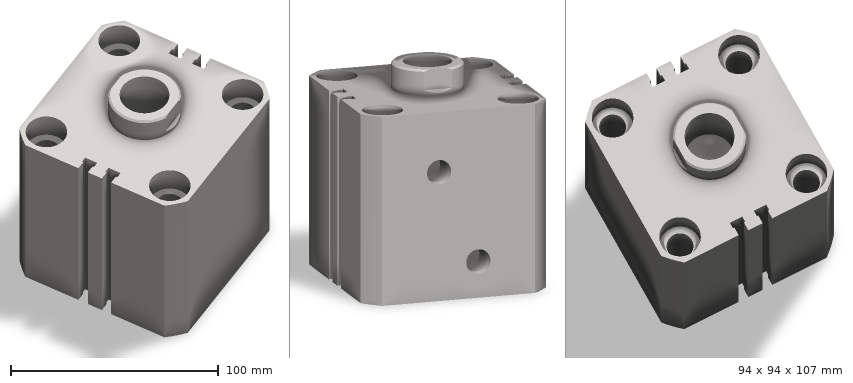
import cadquery as cq
import math

TOTAL_HEIGHT = 107.0
HOUSING_SIDE = 94.0
HOUSING_HEIGHT = 93.9
CORNER_RADIUS = 61.0

BOLT_OFFSET = 34.5
BOLT_HOLE_DIAMETER = 13.0
COUNTERBORE_DIAMETER = 20.0
COUNTERBORE_DEPTH = 13.0

SLOT_OFFSET = 6.5
SLOT_NECK_WIDTH = 5.2
SLOT_HEAD_WIDTH = 6.7
SLOT_NECK_DEPTH = 4.5
SLOT_DEPTH = 7.6

PORT_MOUTH_DIAMETER = 12.2
PORT_FLOOR_DIAMETER = 11.1
PORT_DEPTH = 15.0
PORT_OFFSET = 10.0
LOWER_PORT_HEIGHT = 18.0
UPPER_PORT_HEIGHT = 64.0

ROD_DIAMETER = 35.0
ROD_CHAMFER = 1.0
ROD_INSERTION = 42.8
ROD_BOTTOM = HOUSING_HEIGHT - ROD_INSERTION

ROD_HOLE_DIAMETER = 24.0
ROD_HOLE_DEPTH = 30.0
DRILL_POINT_ANGLE = 120.0

FLAT_SPACING = 32.0
FLAT_BOTTOM = HOUSING_HEIGHT + 3.0


def cylinder(diameter, bottom, top):
    """Upright cylinder on the Z axis between two heights."""
    return cq.Workplane("XY").workplane(offset=bottom).circle(diameter / 2).extrude(top - bottom)


def t_slot_cutter(center_x, side):
    """Full-height T-slot opening to the front (side = -1) or the back (side = 1)."""
    face_y = side * HOUSING_SIDE / 2
    neck_y = face_y - side * SLOT_NECK_DEPTH
    floor_y = face_y - side * SLOT_DEPTH
    half_neck = SLOT_NECK_WIDTH / 2
    half_head = SLOT_HEAD_WIDTH / 2
    return (
        cq.Workplane("XY")
        .moveTo(center_x - half_neck, face_y)
        .lineTo(center_x - half_neck, neck_y)
        .lineTo(center_x - half_head, neck_y)
        .lineTo(center_x - half_head, floor_y)
        .lineTo(center_x + half_head, floor_y)
        .lineTo(center_x + half_head, neck_y)
        .lineTo(center_x + half_neck, neck_y)
        .lineTo(center_x + half_neck, face_y)
        .close()
        .extrude(HOUSING_HEIGHT)
    )


def port_cutter(center_y, center_z):
    """Tapered port running inward along +X from the -X side."""
    mouth = cq.Vector(-HOUSING_SIDE / 2, center_y, center_z)
    inward = cq.Vector(1, 0, 0)
    return cq.Solid.makeCone(PORT_MOUTH_DIAMETER / 2, PORT_FLOOR_DIAMETER / 2, PORT_DEPTH, mouth, inward)


def make_housing():
    block = cq.Workplane("XY").rect(HOUSING_SIDE, HOUSING_SIDE).extrude(HOUSING_HEIGHT)
    housing = block.intersect(cylinder(2 * CORNER_RADIUS, 0, HOUSING_HEIGHT))

    housing = (
        housing.faces(">Z")
        .workplane(origin=(0, 0, HOUSING_HEIGHT))
        .rect(2 * BOLT_OFFSET, 2 * BOLT_OFFSET, forConstruction=True)
        .vertices()
        .cboreHole(BOLT_HOLE_DIAMETER, COUNTERBORE_DIAMETER, COUNTERBORE_DEPTH)
    )

    for side in (-1, 1):
        for center_x in (-SLOT_OFFSET, SLOT_OFFSET):
            housing = housing.cut(t_slot_cutter(center_x, side))

    housing = housing.cut(port_cutter(PORT_OFFSET, UPPER_PORT_HEIGHT))
    housing = housing.cut(port_cutter(-PORT_OFFSET, LOWER_PORT_HEIGHT))

    return housing.cut(cylinder(ROD_DIAMETER, ROD_BOTTOM, HOUSING_HEIGHT))


def wrench_flat_cutter(side):
    """Material removed for the flat on the -X (side = -1) or +X (side = 1) side."""
    flat_x = FLAT_SPACING / 2
    outer_x = ROD_DIAMETER / 2
    shoulder_bottom = FLAT_BOTTOM - (outer_x - flat_x)
    return (
        cq.Workplane("XZ")
        .moveTo(side * flat_x, TOTAL_HEIGHT)
        .lineTo(side * flat_x, FLAT_BOTTOM)
        .lineTo(side * outer_x, shoulder_bottom)
        .lineTo(side * outer_x, TOTAL_HEIGHT)
        .close()
        .extrude(ROD_DIAMETER / 2, both=True)
    )


def rod_hole_cutter():
    """Blind hole in the rod end with a conical drill point."""
    radius = ROD_HOLE_DIAMETER / 2
    shoulder_z = TOTAL_HEIGHT - ROD_HOLE_DEPTH
    tip_z = shoulder_z - radius / math.tan(math.radians(DRILL_POINT_ANGLE / 2))
    return (
        cq.Workplane("XZ")
        .moveTo(0, TOTAL_HEIGHT)
        .lineTo(radius, TOTAL_HEIGHT)
        .lineTo(radius, shoulder_z)
        .lineTo(0, tip_z)
        .close()
        .revolve(360, (0, 0, 0), (0, 1, 0))
    )


def make_rod():
    rod = cylinder(ROD_DIAMETER, ROD_BOTTOM, TOTAL_HEIGHT).faces(">Z").chamfer(ROD_CHAMFER)
    for side in (-1, 1):
        rod = rod.cut(wrench_flat_cutter(side))
    return rod.cut(rod_hole_cutter())


housing = make_housing()
rod = make_rod()

result = cq.Compound.makeCompound([housing.val(), rod.val()])